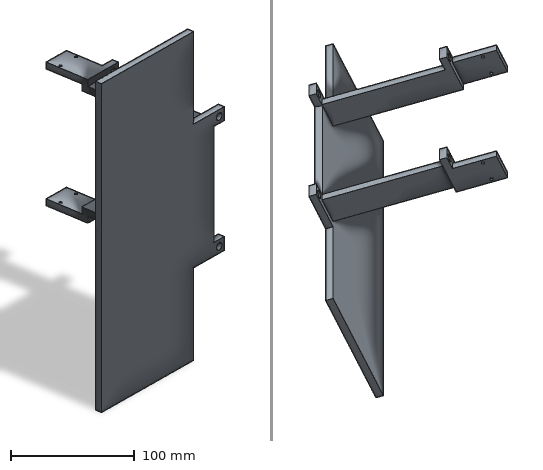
import cadquery as cq

plate_height = 304.8
plate_width = 114.3
total_length = 157.5
thickness = 6.5

arm_width = 25.3
arm_span = 133.2
arm_end_length = 38.0

lug_reach = 12.8
lug_height = 2 * thickness
lug_hole_diameter = 6.7

pin_hole_diameter = 2.5
pin_hole_inset = 12.8
pin_hole_spacing = 19.2

tongue_edge_lean = 1.5

plate_x = total_length - thickness
arm_back_y = plate_width + arm_width
lug_back_y = arm_back_y + lug_reach
arm_top_z = arm_span / 2
lug_bottom_z = arm_top_z - lug_height
lug_center_z = arm_top_z - lug_height / 2


def box(x, y, z, length, width, height):
    """Box placed by its lowest corner."""
    return cq.Workplane("XY").box(length, width, height, centered=False).translate((x, y, z))


def make_plate():
    """Panel with a tongue filling the space between the two arms."""
    panel = box(plate_x, 0, -plate_height / 2, thickness, plate_width, plate_height)
    tongue = (
        cq.Workplane("XY", origin=(0, 0, -lug_bottom_z))
        .moveTo(plate_x, plate_width)
        .lineTo(total_length, plate_width)
        .lineTo(total_length, arm_back_y)
        .lineTo(plate_x, arm_back_y - tongue_edge_lean)
        .close()
        .extrude(2 * lug_bottom_z)
    )
    return panel.union(tongue)


def make_lug(x):
    """Tab running from the front of the arm to past its back edge, with a hole along X."""
    lug = box(x, plate_width, lug_bottom_z, thickness, arm_width + lug_reach, lug_height)
    hole = (
        cq.Workplane("YZ", origin=(x, lug_back_y - lug_reach / 2, lug_center_z))
        .circle(lug_hole_diameter / 2)
        .extrude(thickness)
    )
    return lug.cut(hole)


def make_upper_arm():
    """Outer end strap, inner strap reaching the plate, and the lugs joining them."""
    end_strap = box(
        0, plate_width, arm_top_z - thickness,
        arm_end_length + thickness, arm_width, thickness,
    )
    pin_holes = (
        cq.Workplane("XY", origin=(pin_hole_inset, plate_width + arm_width / 2, lug_bottom_z))
        .rarray(3, pin_hole_spacing, 1, 2)
        .circle(pin_hole_diameter / 2)
        .extrude(lug_height)
    )
    inner_strap = box(
        arm_end_length, plate_width, lug_bottom_z,
        plate_x - arm_end_length, arm_width, thickness,
    )
    arm = end_strap.cut(pin_holes).union(inner_strap)
    for lug_x in (arm_end_length, plate_x):
        arm = arm.union(make_lug(lug_x))
    return arm


upper_arm = make_upper_arm()
lower_arm = upper_arm.mirror("XY")
result = make_plate().union(upper_arm).union(lower_arm)